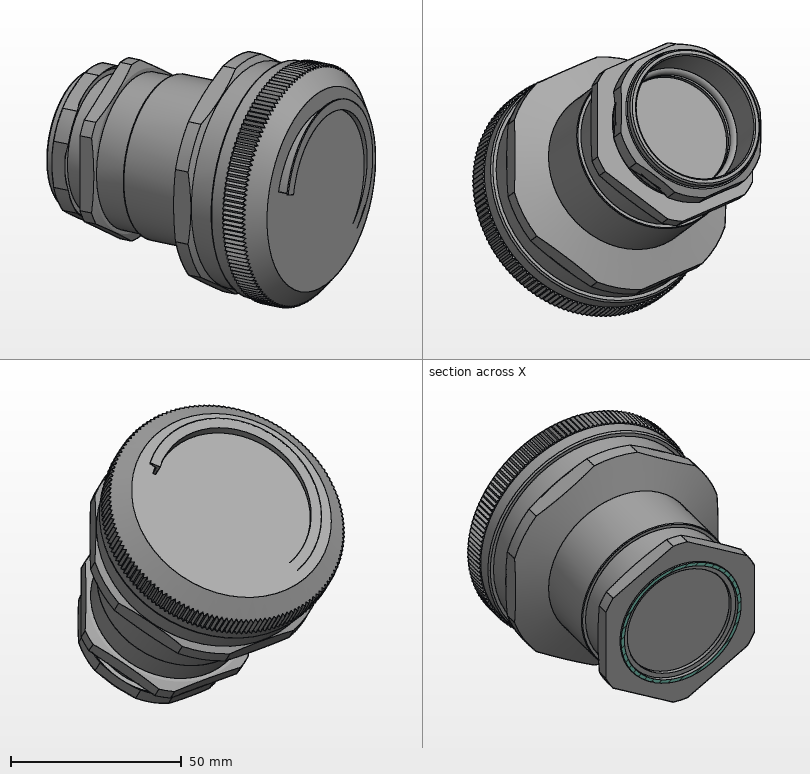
import cadquery as cq
import math


tube_radius = 42.0 / 2
tube_chamfer = 0.5
tube_top = 12.1
relief_radius = 40.6 / 2
bore_radius = 38.0 / 2
bore_mouth_chamfer = 0.4
lip_radius = 35.0 / 2
lip_bottom = 11.9
lip_length = 1.7
lip_rounding = bore_radius - lip_radius
groove_length = 1.1
bore_depth = 15.9

clamp_bottom = 2.3
clamp_top = 8.6
clamp_flats = 45.0
clamp_corner_radius = 23.6
clamp_face_radius = 21.45
clamp_chamfer_height = 1.3
clamp_recess_depth = 1.2

lock_bottom = 14.1
lock_top = 19.0
lock_flats = 50.0
lock_corner_radius = 27.6
lock_face_radius = 24.7
lock_chamfer_height = 0.9

neck_radius = 23.6
barrel_bottom = 28.7
barrel_radius = 49.6 / 2
barrel_edge_radius = 49.2 / 2
barrel_edge_height = 0.35
barrel_top = 48.4

hex_corner_bottom = 52.3
hex_corner_top = 56.6
hex_top = 57.65
hex_flats = 68.1
hex_corner_radius = 35.85

upper_neck_radius = 67.8 / 2
flange_bottom = 65.1
flange_radius = 71.0 / 2
flange_chamfer = 0.5
knurl_bottom = 69.7
knurl_top = 77.0
knurl_tip_radius = 72.55 / 2
tooth_count = 150
cap_top = 81.5
cap_face_radius = 61.2 / 2

overall_length = 86.2
spiral_pitch = 8.1
spiral_start_angle = -48.0
spiral_end_angle = 164.5
spiral_inner_radius = 24.1
spiral_wall_radius = 50.0 / 2
spiral_lip_radius = 27.3
spiral_lip_thickness = 0.4
spiral_flare_radius = 25.7
spiral_flare_height = 0.6
spiral_cove_height = 1.0
spiral_height = 6.0


def revolve_profile(points):
    """Turn a closed (radius, height) outline around the Z axis."""
    return cq.Workplane("XZ").polyline(points).close().revolve(360, (0, 0, 0), (0, 1, 0))


def hexagon(flats, bottom, top):
    """Hexagonal prism with two of its flats square to the X axis."""
    corner_diameter = flats / math.cos(math.pi / 6)
    prism = cq.Workplane("XY").workplane(offset=bottom).polygon(6, corner_diameter).extrude(top - bottom)
    return prism.rotate((0, 0, 0), (0, 0, 1), 30)


def make_core():
    """All the round steps from the entry tube to the cap face."""
    return revolve_profile([
        (0, 0),
        (tube_radius - tube_chamfer, 0),
        (tube_radius, tube_chamfer),
        (tube_radius, tube_top),
        (relief_radius, tube_top + tube_radius - relief_radius),
        (relief_radius, lock_bottom),
        (neck_radius, lock_bottom),
        (neck_radius, barrel_bottom),
        (barrel_edge_radius, barrel_bottom),
        (barrel_radius, barrel_bottom + barrel_edge_height),
        (barrel_radius, barrel_top),
        (upper_neck_radius, hex_corner_bottom),
        (upper_neck_radius, flange_bottom),
        (flange_radius - flange_chamfer, flange_bottom),
        (flange_radius, flange_bottom + flange_chamfer),
        (flange_radius, knurl_top),
        (cap_face_radius, cap_top),
        (0, cap_top),
    ])


def make_bore():
    """Blind bore with a rounded inner lip and a groove above the lip."""
    lip_top = lip_bottom + lip_length
    groove_top = lip_top + groove_length
    arc_offset = lip_rounding * math.sqrt(0.5)
    arc_middle = (
        lip_radius + lip_rounding - arc_offset,
        lip_bottom + lip_rounding - arc_offset,
    )
    return (
        cq.Workplane("XZ")
        .moveTo(0, 0)
        .lineTo(bore_radius + bore_mouth_chamfer, 0)
        .lineTo(bore_radius, bore_mouth_chamfer)
        .lineTo(bore_radius, lip_bottom)
        .threePointArc(arc_middle, (lip_radius, lip_bottom + lip_rounding))
        .lineTo(lip_radius, lip_top)
        .lineTo(bore_radius, lip_top)
        .lineTo(bore_radius, groove_top)
        .lineTo(lip_radius, groove_top)
        .lineTo(lip_radius, bore_depth)
        .lineTo(0, bore_depth)
        .close()
        .revolve(360, (0, 0, 0), (0, 1, 0))
    )


def make_clamp_nut():
    """Hexagon with a conical lower edge and a dished top that leaves raised corners."""
    dish_radius = clamp_flats / 2
    envelope = revolve_profile([
        (0, clamp_bottom),
        (clamp_face_radius, clamp_bottom),
        (clamp_corner_radius, clamp_bottom + clamp_chamfer_height),
        (clamp_corner_radius, clamp_top),
        (dish_radius, clamp_top - clamp_recess_depth),
        (0, clamp_top - clamp_recess_depth),
    ])
    return hexagon(clamp_flats, clamp_bottom, clamp_top).intersect(envelope)


def make_lock_nut():
    """Hexagon with a flat lower face and a chamfered upper edge."""
    envelope = revolve_profile([
        (0, lock_bottom),
        (lock_corner_radius, lock_bottom),
        (lock_corner_radius, lock_top - lock_chamfer_height),
        (lock_face_radius, lock_top),
        (0, lock_top),
    ])
    return hexagon(lock_flats, lock_bottom, lock_top).intersect(envelope)


def make_body_hexagon():
    """Large hexagon blending from the barrel through a cone."""
    envelope = revolve_profile([
        (0, barrel_top),
        (barrel_radius, barrel_top),
        (hex_corner_radius, hex_corner_bottom),
        (hex_corner_radius, hex_corner_top),
        (upper_neck_radius, hex_top),
        (0, hex_top),
    ])
    return hexagon(hex_flats, barrel_top, hex_top).intersect(envelope)


def make_knurl():
    """Ring of pointed teeth, bevelled at the top end."""
    points = []
    for index in range(2 * tooth_count):
        angle = math.pi * index / tooth_count
        radius = knurl_tip_radius if index % 2 == 0 else flange_radius
        points.append((radius * math.cos(angle), radius * math.sin(angle)))
    teeth = (
        cq.Workplane("XY").workplane(offset=knurl_bottom)
        .polyline(points).close().extrude(knurl_top - knurl_bottom)
    )
    tooth_height = knurl_tip_radius - flange_radius
    envelope = revolve_profile([
        (0, knurl_bottom),
        (knurl_tip_radius, knurl_bottom),
        (knurl_tip_radius, knurl_top - tooth_height),
        (flange_radius, knurl_top),
        (0, knurl_top),
    ])
    return teeth.intersect(envelope)


def make_spiral():
    """Wall and flared lip swept along a helix, with the low end sunk in the cap."""
    rise = spiral_pitch * (spiral_end_angle - spiral_start_angle) / 360
    start_top = overall_length - rise
    flare_top = start_top - spiral_lip_thickness
    cove_top = flare_top - spiral_flare_height
    path = cq.Wire.makeHelix(spiral_pitch, rise, spiral_wall_radius, cq.Vector(0, 0, start_top))
    section = (
        cq.Workplane("XZ")
        .moveTo(spiral_inner_radius, start_top - spiral_height)
        .lineTo(spiral_wall_radius, start_top - spiral_height)
        .lineTo(spiral_wall_radius, cove_top - spiral_cove_height)
        .tangentArcPoint((spiral_flare_radius, cove_top), relative=False)
        .lineTo(spiral_lip_radius, flare_top)
        .lineTo(spiral_lip_radius, start_top)
        .lineTo(spiral_inner_radius, start_top)
        .close()
    )
    wall = section.sweep(cq.Workplane(path), isFrenet=True)
    return wall.rotate((0, 0, 0), (0, 0, 1), spiral_start_angle)


gland = (
    make_core()
    .union(make_clamp_nut())
    .union(make_lock_nut())
    .union(make_body_hexagon())
    .union(make_knurl())
    .union(make_spiral())
    .cut(make_bore())
)

result = gland.rotate((0, 0, 0), (1, 1, 1), 120)